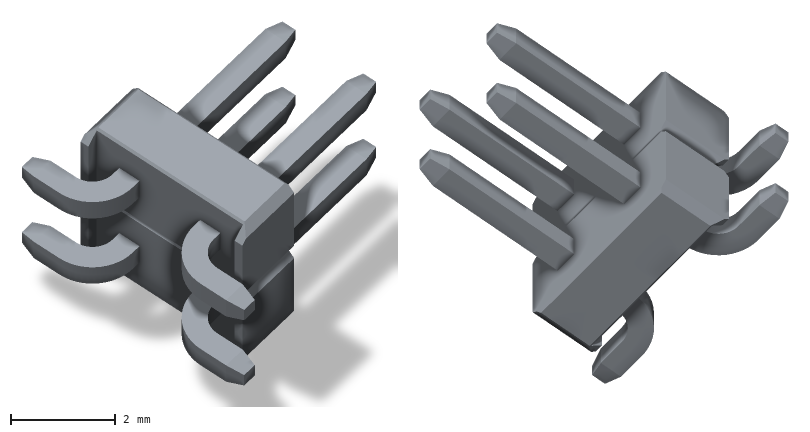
import cadquery as cq
import math

overall_width = 5.5
overall_depth = 6.0
overall_height = 4.0
row_count = 2
row_pitch = overall_height / row_count
pin_pitch = row_pitch

block_width = 2 * pin_pitch
block_height = row_pitch
block_depth = 1.56
block_front_y = 0.95
block_back_y = block_front_y + block_depth
side_chamfer = 0.19
front_chamfer = 0.3
back_chamfer = 0.055
recess_depth = 0.25
recess_width = block_width - 2 * side_chamfer

pin_size = pin_pitch / 4
bend_inner_radius = pin_size
bend_outer_radius = bend_inner_radius + pin_size
foot_tip_length = 0.37
pin_tip_length = 0.4
tip_size = 0.32

pin_inner_x = (pin_pitch - pin_size) / 2
pin_outer_x = pin_inner_x + pin_size
bend_end_x = pin_inner_x + bend_outer_radius
foot_tip_x = overall_width / 2
foot_shank_x = foot_tip_x - foot_tip_length
shank_end_y = overall_depth - pin_tip_length


def extruded_block_profile(plane, outline, length):
    """Extrude a closed outline symmetrically about its plane."""
    return cq.Workplane(plane).polyline(outline).close().extrude(length / 2, both=True)


def make_block():
    """Chamfered block, from crossed side and end profiles, with its front recess."""
    half_height = block_height / 2
    side_outline = [
        (block_front_y, half_height - front_chamfer),
        (block_front_y + front_chamfer, half_height),
        (block_back_y - back_chamfer, half_height),
        (block_back_y, half_height - back_chamfer),
        (block_back_y, back_chamfer - half_height),
        (block_back_y - back_chamfer, -half_height),
        (block_front_y + front_chamfer, -half_height),
        (block_front_y, front_chamfer - half_height),
    ]
    block = extruded_block_profile("YZ", side_outline, block_width)

    end_profile = (
        cq.Workplane("XY")
        .box(block_width, block_depth, block_height, centered=(True, False, True))
        .edges("|Y")
        .chamfer(side_chamfer)
        .translate((0, block_front_y, 0))
    )
    recess = (
        cq.Workplane("XY")
        .box(recess_width, recess_depth, block_height, centered=(True, False, True))
        .translate((0, block_front_y, 0))
    )
    return block.intersect(end_profile).cut(recess)


def make_tip(base_center, direction, length):
    """Square taper that narrows from the pin section to its flat end."""
    base_plane = cq.Plane(origin=base_center, xDir=(0, 0, 1), normal=direction)
    return (
        cq.Workplane(base_plane)
        .rect(pin_size, pin_size)
        .workplane(offset=length)
        .rect(tip_size, tip_size)
        .loft(ruled=True)
    )


def make_pin():
    """Right-hand pin: straight shank, quarter bend, foot and two tapered ends."""
    diagonal = math.sqrt(0.5)
    bend_center_y = bend_outer_radius
    outer_mid = (
        bend_end_x - bend_outer_radius * diagonal,
        bend_center_y - bend_outer_radius * diagonal,
    )
    inner_mid = (
        bend_end_x - bend_inner_radius * diagonal,
        bend_center_y - bend_inner_radius * diagonal,
    )
    bent_bar = (
        cq.Workplane("XY")
        .moveTo(pin_inner_x, shank_end_y)
        .lineTo(pin_inner_x, bend_center_y)
        .threePointArc(outer_mid, (bend_end_x, 0))
        .lineTo(foot_shank_x, 0)
        .lineTo(foot_shank_x, pin_size)
        .lineTo(bend_end_x, pin_size)
        .threePointArc(inner_mid, (pin_outer_x, bend_center_y))
        .lineTo(pin_outer_x, shank_end_y)
        .close()
        .extrude(pin_size / 2, both=True)
    )
    pin_tip = make_tip((pin_pitch / 2, shank_end_y, 0), (0, 1, 0), pin_tip_length)
    foot_tip = make_tip((foot_shank_x, pin_size / 2, 0), (1, 0, 0), foot_tip_length)
    return bent_bar.union(pin_tip).union(foot_tip)


def make_header_row():
    """One row: a block and its mirrored pair of pins in a single solid."""
    right_pin = make_pin()
    left_pin = right_pin.mirror("YZ")
    return make_block().union(right_pin).union(left_pin).solids()


header_rows = []
for row in range(row_count):
    row_z = (row - (row_count - 1) / 2) * row_pitch
    header_rows.append(make_header_row().translate((0, 0, row_z)))

result = cq.Compound.makeCompound([header_row.val() for header_row in header_rows])